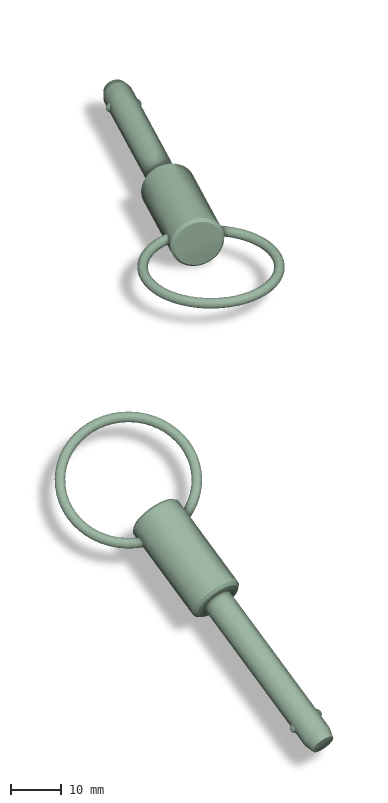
import cadquery as cq

overall_length = 82.5

shank_diameter = 6.0
nose_diameter = 4.9
nose_length = 2.1

handle_diameter = 11.0
handle_start = 36.9
handle_length = 22.1
handle_chamfer = 0.6

ball_diameter = 2.0
ball_position = 6.0
ball_protrusion = 0.6

ring_outer_diameter = 28.95
wire_diameter = 2.1


def make_shank():
    """Round shank with a tapered nose, ending at the handle's front face."""
    nose_radius = nose_diameter / 2
    shank_radius = shank_diameter / 2
    return (
        cq.Workplane("XY")
        .moveTo(0, 0)
        .lineTo(0, nose_radius)
        .lineTo(nose_length, shank_radius)
        .lineTo(handle_start, shank_radius)
        .lineTo(handle_start, 0)
        .close()
        .revolve(360, (0, 0, 0), (1, 0, 0))
    )


def make_handle():
    """Cylindrical handle with both end edges chamfered."""
    return (
        cq.Workplane("YZ", origin=(handle_start, 0, 0))
        .circle(handle_diameter / 2)
        .extrude(handle_length)
        .faces("<X or >X")
        .edges()
        .chamfer(handle_chamfer)
    )


def make_ball(side):
    """Locking ball that stands out of the shank on the given Y side."""
    centre_offset = shank_diameter / 2 + ball_protrusion - ball_diameter / 2
    return (
        cq.Workplane("XY")
        .sphere(ball_diameter / 2)
        .translate((ball_position, side * centre_offset, 0))
    )


def make_ring():
    """Round wire pull ring lying in the XY plane and passing through the handle."""
    centre_x = overall_length - ring_outer_diameter / 2
    wire_path_radius = (ring_outer_diameter - wire_diameter) / 2
    ring = cq.Solid.makeTorus(
        wire_path_radius,
        wire_diameter / 2,
        cq.Vector(centre_x, 0, 0),
        cq.Vector(0, 0, 1),
    )
    return cq.Workplane(obj=ring)


result = make_shank().union(make_handle())
for ball_side in (-1, 1):
    result = result.union(make_ball(ball_side))
result = result.union(make_ring())